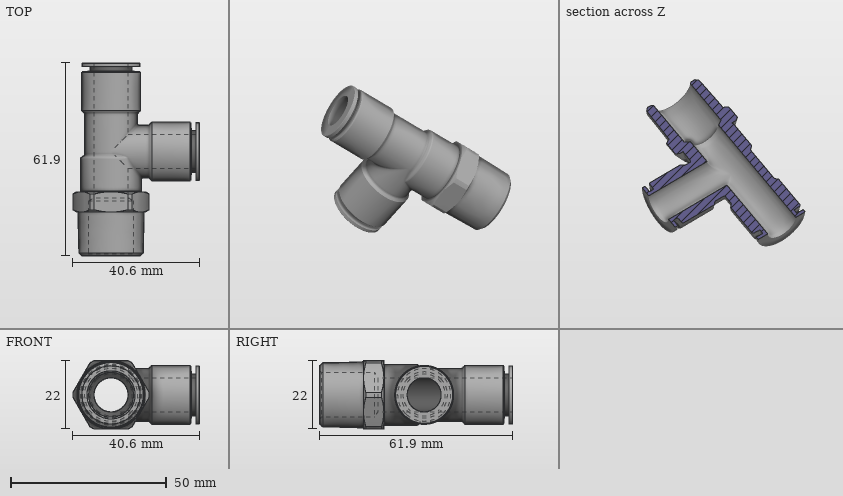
import cadquery as cq
import math


blend_radius = 0.5

port_reach = 28.4
release_ring_radius = 9.3
release_ring_thickness = 1.25
release_ring_edge = 0.1
release_neck_radius = 6.75
lip_radius = 7.4
lip_end = 25.75
sleeve_radius = 9.5
sleeve_end = 25.6
sleeve_edge = 0.4
sleeve_start = 13.1
tee_radius = 8.5
sleeve_shoulder = sleeve_start - (sleeve_radius - tee_radius)

body_radius = 9.8
body_shoulder_start = -1.2
body_shoulder_end = -2.1
body_end_edge = 0.25

hex_across_flats = 22.0
hex_corner_radius = 12.25
hex_top = -12.95
hex_bottom = -19.45
hex_face_radius = hex_across_flats / 2
hex_chamfer_angle = 30

thread_end = -33.5
thread_base_radius = 10.65
thread_tip_radius = 10.35
thread_chamfer = 1.0

flow_bore_radius = 5.45
thread_bore_radius = 7.2
thread_bore_chamfer = 0.55
thread_bore_top = -14.85
drill_half_angle = 59


def revolve_about_y(points):
    """Solid of revolution about Y from (radius, y) points; the ends close on the axis."""
    outline = [(0, points[0][1])] + points + [(0, points[-1][1])]
    return cq.Workplane("XY").polyline(outline).close().revolve(360, (0, 0, 0), (0, 1, 0))


def circle_at(radius, y):
    """Selector for the circular edge around Y with one radius and height."""
    gap = 0.03
    return cq.selectors.BoxSelector(
        (-radius - gap, y - gap, -radius - gap),
        (radius + gap, y + gap, radius + gap),
        boundingbox=True,
    )


def make_tee_run(start):
    """Plain tee tube from a start height up to the shoulder of the port sleeve."""
    return revolve_about_y([(tee_radius, start), (tee_radius, sleeve_shoulder)])


def make_port_head():
    """Sleeve, lip, and release ring of a push-in port pointing along +Y."""
    ring_start = port_reach - release_ring_thickness
    head = revolve_about_y([
        (tee_radius, sleeve_shoulder - 2 * blend_radius),
        (tee_radius, sleeve_shoulder),
        (sleeve_radius, sleeve_start),
        (sleeve_radius, sleeve_end - sleeve_edge),
        (sleeve_radius - sleeve_edge, sleeve_end),
        (lip_radius, sleeve_end),
        (lip_radius, lip_end),
        (release_neck_radius, lip_end),
        (release_neck_radius, ring_start),
        (release_ring_radius, ring_start),
        (release_ring_radius, port_reach - release_ring_edge),
        (release_ring_radius - release_ring_edge, port_reach),
    ])
    return head.edges(circle_at(tee_radius, sleeve_shoulder)).fillet(blend_radius)


def make_tee():
    """Tee run, branch tube and lower body, with the seams between them blended."""
    main = make_tee_run(body_shoulder_start)
    branch = make_tee_run(0).rotate((0, 0, 0), (0, 0, 1), -90)
    body = revolve_about_y([
        (tee_radius, body_shoulder_start),
        (body_radius, body_shoulder_end),
        (body_radius, hex_top + body_end_edge),
        (body_radius - body_end_edge, hex_top),
    ])
    tee = main.union(branch).union(body)
    seam_zone = cq.selectors.BoxSelector(
        (-body_radius, -tee_radius, -body_radius),
        (body_radius, tee_radius, body_radius),
    )
    return tee.edges(seam_zone).fillet(blend_radius)


def make_hexagon():
    """Wrench hexagon with rounded corners and chamfered end faces."""
    height = hex_top - hex_bottom
    corner_diameter = hex_across_flats / math.cos(math.pi / 6)
    prism = (
        cq.Workplane("XZ", origin=(0, hex_top, 0))
        .polygon(6, corner_diameter)
        .extrude(height)
    )
    chamfer_height = (hex_corner_radius - hex_face_radius) * math.tan(math.radians(hex_chamfer_angle))
    envelope = revolve_about_y([
        (hex_face_radius, hex_bottom),
        (hex_corner_radius, hex_bottom + chamfer_height),
        (hex_corner_radius, hex_top - chamfer_height),
        (hex_face_radius, hex_top),
    ])
    return prism.intersect(envelope)


def make_thread():
    """Slightly tapered cone with a 45 degree chamfer at its tip."""
    return revolve_about_y([
        (thread_base_radius, hex_bottom),
        (thread_tip_radius, thread_end + thread_chamfer),
        (thread_tip_radius - thread_chamfer, thread_end),
    ])


def make_bores():
    """Flow bores along both axes and the wider, drill-pointed bore in the thread."""
    bore_step = thread_bore_radius - flow_bore_radius
    cone_height = bore_step / math.tan(math.radians(drill_half_angle))
    main = revolve_about_y([
        (thread_bore_radius + thread_bore_chamfer, thread_end),
        (thread_bore_radius, thread_end + thread_bore_chamfer),
        (thread_bore_radius, thread_bore_top - cone_height),
        (flow_bore_radius, thread_bore_top),
        (flow_bore_radius, port_reach),
    ])
    branch = cq.Workplane("YZ").circle(flow_bore_radius).extrude(port_reach)
    return main.union(branch)


main_port = make_port_head()
branch_port = main_port.rotate((0, 0, 0), (0, 0, 1), -90)
result = (
    make_tee()
    .union(main_port)
    .union(branch_port)
    .union(make_hexagon())
    .union(make_thread())
    .cut(make_bores())
)